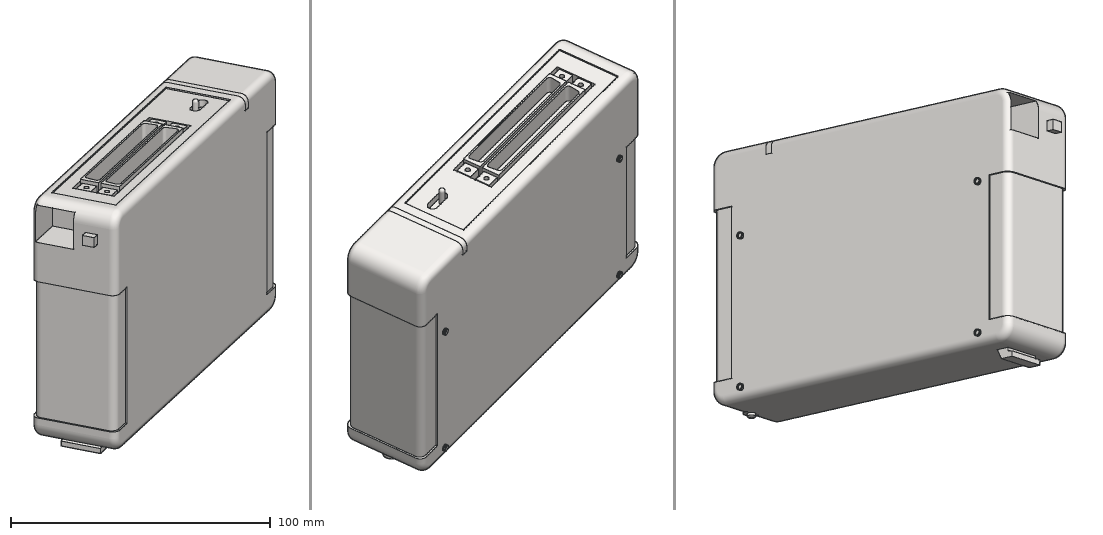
import cadquery as cq

OVERALL_LENGTH = 153.0
CASE_X, CASE_Y, CASE_Z = 36.1, 150.0, 101.5
CORNER_RADIUS = 6.3
EDGE_RADIUS = 3.0
SIDE_X = -CASE_X / 2
FRONT_Y = -CASE_Y / 2
REAR_Y = CASE_Y / 2

GRIP_DEPTH = 0.8
GRIP_EDGE_RADIUS = 3.0
GRIP_BOTTOM_Z = 9.3
FRONT_GRIP_LENGTH = 10.0
FRONT_GRIP_TOP_Z = CASE_Z - 34.3
REAR_GRIP_LENGTH = 10.5
REAR_GRIP_TOP_Z = CASE_Z - 23.3

PANEL_X, PANEL_Y = 27.2, 106.0
PANEL_FRONT_MARGIN = 9.2
PANEL_DEPTH = 0.6
PANEL_Z = CASE_Z - PANEL_DEPTH

SLOT_X = 4.3
SLOT_WIDTH, SLOT_LENGTH, SLOT_DEPTH = 4.1, 10.7, 3.0
SLOT_Y = REAR_Y - 43.5
LEVER_Y = REAR_Y - 46.5
LEVER_RADIUS = 1.2
LEVER_RISE = 3.4

POCKET_CENTER_X = 0.3
POCKET_CENTER_Y = -22.0
POCKET_X, POCKET_Y = 17.6, 71.0
POCKET_DEPTH = 4.6
POCKET_FLOOR_Z = CASE_Z - POCKET_DEPTH
SOCKET_PITCH = 8.7
SOCKET_X, SOCKET_Y = 7.8, 59.0
SOCKET_RISE = 0.8
SOCKET_TOP_Z = CASE_Z + SOCKET_RISE
CAVITY_X, CAVITY_Y = 6.3, 56.0
CAVITY_SHORT_SIDE_INSET = 0.8
CAVITY_RADIUS = 1.4
CAVITY_DEPTH = 7.7
EAR_X = 6.3
EAR_END_GAP = 0.5
EAR_TOP_Z = CASE_Z - 0.8
EAR_HOLE_DIAMETER = 2.0
EAR_HOLE_DEPTH = 2.3
EAR_HOLE_END_MARGIN = 3.2

WINDOW_LEFT_MARGIN, WINDOW_TOP_MARGIN = 1.7, 2.5
WINDOW_X, WINDOW_Z = 16.2, 15.1
WINDOW_DEPTH = 16.0

BUTTON_X, BUTTON_Z = 5.0, 4.1
BUTTON_RISE = OVERALL_LENGTH - CASE_Y
BUTTON_CENTER_X = 7.5
BUTTON_CENTER_Z = CASE_Z - 11.5

SCREW_DIAMETER = 2.8
SCREW_RISE = 0.9
SCREW_HOLE_DIAMETER = 2.1
SCREW_HOLE_DEPTH = 0.6
SCREW_END_MARGIN = 15.3
SCREW_LOW_Z, SCREW_HIGH_Z = 4.9, 65.5

HOOK_X = 16.7
HOOK_DROP = 4.0
HOOK_LIP_Z = -1.8
HOOK_NECK_Z = -1.4
MOUNT_Y = REAR_Y - 5.5
MOUNT_BOSS_RADIUS, MOUNT_BOSS_HEIGHT = 3.4, 4.6
MOUNT_SCREW_RADIUS, MOUNT_SCREW_DROP = 1.7, 1.7
MOUNT_SCREW_CHAMFER = 0.6

BAND_Y = 2.8
BAND_CENTER_Y = REAR_Y - 29.2
BAND_LEG = 5.7
BAND_THICKNESS = 1.5


def box(size_x, size_y, size_z, center_x, center_y, bottom_z):
    """Box centred on a point in X and Y and standing on bottom_z."""
    solid = cq.Workplane("XY").box(size_x, size_y, size_z, centered=(True, True, False))
    return solid.translate((center_x, center_y, bottom_z))


def cylinder(radius, center_x, center_y, bottom_z, top_z):
    """Upright cylinder between two heights."""
    base = cq.Workplane("XY", origin=(center_x, center_y, bottom_z))
    return base.circle(radius).extrude(top_z - bottom_z)


def make_rounded_block():
    block = box(CASE_X, CASE_Y, CASE_Z, 0, 0, 0)
    block = block.edges("|X").fillet(CORNER_RADIUS)
    return block.faces("<X or >X").edges().fillet(EDGE_RADIUS)


def add_grip(case, end_y, length, top_z):
    """Step the case in by GRIP_DEPTH over a length at one of its ends."""
    inward = -1 if end_y > 0 else 1
    height = top_z - GRIP_BOTTOM_Z
    center_y = end_y + inward * length / 2
    case = case.cut(box(CASE_X, length, height, 0, center_y, GRIP_BOTTOM_Z))

    core_x = CASE_X - 2 * GRIP_DEPTH
    core_y = length - GRIP_DEPTH
    core = box(core_x, core_y, height, 0, center_y + inward * GRIP_DEPTH / 2, GRIP_BOTTOM_Z)
    outer_end = ">Y" if end_y > 0 else "<Y"
    core = core.faces(outer_end).edges("|Z").fillet(GRIP_EDGE_RADIUS)
    return case.union(core)


def cut_panel(case):
    center_y = FRONT_Y + PANEL_FRONT_MARGIN + PANEL_Y / 2
    return case.cut(box(PANEL_X, PANEL_Y, PANEL_DEPTH, 0, center_y, PANEL_Z))


def add_switch(case):
    floor_z = PANEL_Z - SLOT_DEPTH
    slot = (
        cq.Workplane("XY", origin=(SLOT_X, SLOT_Y, floor_z))
        .slot2D(SLOT_LENGTH, SLOT_WIDTH, 90)
        .extrude(SLOT_DEPTH)
    )
    dome_z = CASE_Z + LEVER_RISE - LEVER_RADIUS
    lever = cylinder(LEVER_RADIUS, SLOT_X, LEVER_Y, floor_z, dome_z)
    dome = cq.Workplane("XY").sphere(LEVER_RADIUS).translate((SLOT_X, LEVER_Y, dome_z))
    return case.cut(slot).union(lever.union(dome))


def make_cavity(center_x):
    """D-shaped socket cavity whose -X side is the shorter one."""
    half_x = CAVITY_X / 2
    half_long = CAVITY_Y / 2
    half_short = half_long - CAVITY_SHORT_SIDE_INSET
    outline = [
        (-half_x, -half_short),
        (half_x, -half_long),
        (half_x, half_long),
        (-half_x, half_short),
    ]
    return (
        cq.Workplane("XY", origin=(center_x, POCKET_CENTER_Y, SOCKET_TOP_Z - CAVITY_DEPTH))
        .polyline(outline)
        .close()
        .extrude(CAVITY_DEPTH)
        .edges("|Z")
        .fillet(CAVITY_RADIUS)
    )


def add_socket(case, center_x):
    ear_y = POCKET_Y - 2 * EAR_END_GAP
    ears = box(EAR_X, ear_y, EAR_TOP_Z - POCKET_FLOOR_Z, center_x, POCKET_CENTER_Y, POCKET_FLOOR_Z)
    body_height = SOCKET_TOP_Z - POCKET_FLOOR_Z
    body = box(SOCKET_X, SOCKET_Y, body_height, center_x, POCKET_CENTER_Y, POCKET_FLOOR_Z)
    case = case.union(ears).union(body).cut(make_cavity(center_x))
    hole_offset = POCKET_Y / 2 - EAR_HOLE_END_MARGIN
    for hole_y in (POCKET_CENTER_Y - hole_offset, POCKET_CENTER_Y + hole_offset):
        hole = cylinder(EAR_HOLE_DIAMETER / 2, center_x, hole_y, EAR_TOP_Z - EAR_HOLE_DEPTH, EAR_TOP_Z)
        case = case.cut(hole)
    return case


def add_sockets(case):
    pocket = box(POCKET_X, POCKET_Y, POCKET_DEPTH, POCKET_CENTER_X, POCKET_CENTER_Y, POCKET_FLOOR_Z)
    case = case.cut(pocket)
    for side in (-1, 1):
        case = add_socket(case, POCKET_CENTER_X + side * SOCKET_PITCH / 2)
    return case


def cut_window(case):
    center_x = SIDE_X + WINDOW_LEFT_MARGIN + WINDOW_X / 2
    bottom_z = CASE_Z - WINDOW_TOP_MARGIN - WINDOW_Z
    return case.cut(box(WINDOW_X, WINDOW_DEPTH, WINDOW_Z, center_x, FRONT_Y + WINDOW_DEPTH / 2, bottom_z))


def add_button(case):
    bottom_z = BUTTON_CENTER_Z - BUTTON_Z / 2
    center_y = FRONT_Y - BUTTON_RISE / 2
    return case.union(box(BUTTON_X, BUTTON_RISE, BUTTON_Z, BUTTON_CENTER_X, center_y, bottom_z))


def add_side_screws(case):
    screw_y = REAR_Y - SCREW_END_MARGIN
    for y in (-screw_y, screw_y):
        for z in (SCREW_LOW_Z, SCREW_HIGH_Z):
            head = (
                cq.Workplane("YZ", origin=(SIDE_X, y, z))
                .circle(SCREW_DIAMETER / 2)
                .extrude(-SCREW_RISE)
            )
            hole = (
                cq.Workplane("YZ", origin=(SIDE_X - SCREW_RISE, y, z))
                .circle(SCREW_HOLE_DIAMETER / 2)
                .extrude(SCREW_HOLE_DEPTH)
            )
            case = case.union(head).cut(hole)
    return case


def add_hook(case):
    """Hook profile, given as distance behind the front end and height, run along X."""
    profile = [
        (14.0, 0),
        (11.8, -HOOK_DROP),
        (6.5, -HOOK_DROP),
        (6.5, HOOK_LIP_Z),
        (8.5, HOOK_NECK_Z),
        (8.5, 0),
    ]
    hook = (
        cq.Workplane("YZ", origin=(0, FRONT_Y, 0))
        .polyline(profile)
        .close()
        .extrude(HOOK_X / 2, both=True)
    )
    return case.union(hook)


def add_mounting_screw(case):
    boss = cylinder(MOUNT_BOSS_RADIUS, 0, MOUNT_Y, 0, MOUNT_BOSS_HEIGHT)
    screw = cylinder(MOUNT_SCREW_RADIUS, 0, MOUNT_Y, -MOUNT_SCREW_DROP, 0)
    screw = screw.faces("<Z").chamfer(MOUNT_SCREW_CHAMFER)
    return case.union(boss).union(screw)


def make_band(block):
    """Slice of the block's outer skin, BAND_THICKNESS thick and BAND_LEG tall."""
    slice_box = box(CASE_X, BAND_Y, BAND_LEG, 0, BAND_CENTER_Y, CASE_Z - BAND_LEG)
    inner_x = CASE_X - 2 * BAND_THICKNESS
    inner = box(inner_x, CASE_Y, CASE_Z - BAND_THICKNESS, 0, 0, 0)
    inner = inner.edges("|Y and >Z").fillet(EDGE_RADIUS - BAND_THICKNESS)
    return block.intersect(slice_box).cut(inner).solids()


def make_housing(block, band):
    housing = add_grip(block, FRONT_Y, FRONT_GRIP_LENGTH, FRONT_GRIP_TOP_Z)
    housing = add_grip(housing, REAR_Y, REAR_GRIP_LENGTH, REAR_GRIP_TOP_Z)
    housing = cut_panel(housing)
    housing = add_switch(housing)
    housing = add_sockets(housing)
    housing = cut_window(housing)
    housing = add_button(housing)
    housing = add_side_screws(housing)
    housing = add_hook(housing)
    housing = add_mounting_screw(housing)
    return housing.cut(band).solids()


rounded_block = make_rounded_block()
indicator_band = make_band(rounded_block)
housing = make_housing(rounded_block, indicator_band)

result = cq.Compound.makeCompound([housing.val(), indicator_band.val()])